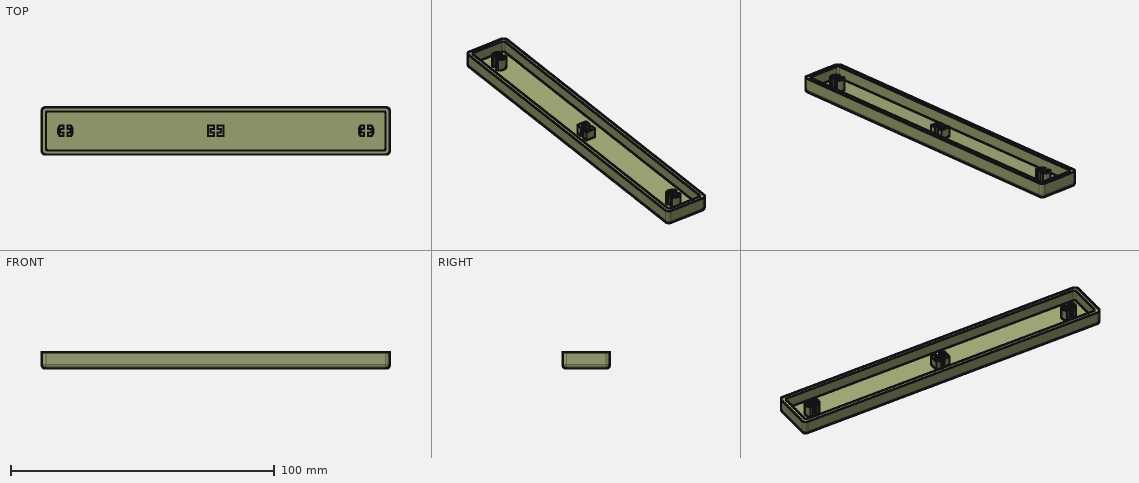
import cadquery as cq

length = 132.35
width = 18.05
height = 6.3
wall = 1.6
floor = wall
corner_radius = wall
bottom_radius = wall
inner_corner_radius = wall / 2

stem_spacing = 57.15
square_stem_height = 3.8
round_stem_height = height - floor
stem_depth = 4.0
round_stem_diameter = 5.6
square_stem_length = 5.9

cross_length = 4.0
cross_bar = 1.3
cross_slot = 1.5


def make_tray():
    """Open-topped tray with rounded corners and a rounded bottom edge."""
    body = cq.Workplane("XY").box(length, width, height, centered=(True, True, False))
    body = body.edges("|Z").fillet(corner_radius)
    body = body.faces("<Z").edges().fillet(bottom_radius)
    cavity = (
        cq.Workplane("XY")
        .workplane(offset=floor)
        .rect(length - 2 * wall, width - 2 * wall)
        .extrude(height - floor)
        .edges("|Z")
        .fillet(inner_corner_radius)
    )
    return body.cut(cavity)


def floor_block(block_length, block_width, block_height):
    """Rectangular block standing on the tray floor at the origin."""
    return cq.Workplane("XY").workplane(offset=floor).rect(block_length, block_width).extrude(block_height)


def cut_cross(stem, stem_height):
    """Cut a cross-shaped socket, closed along X and open along Y."""
    bar = floor_block(cross_length, cross_bar, stem_height)
    slot = floor_block(cross_slot, stem_depth, stem_height)
    return stem.cut(bar).cut(slot)


def make_square_stem():
    """Central stem with a rectangular outline."""
    block = floor_block(square_stem_length, stem_depth, square_stem_height)
    return cut_cross(block, square_stem_height)


def make_round_stem():
    """Outer stem: a cylinder with flats on its +Y and -Y sides."""
    floor_plane = cq.Workplane("XY").workplane(offset=floor)
    cylinder = floor_plane.circle(round_stem_diameter / 2).extrude(round_stem_height)
    flats = floor_block(round_stem_diameter, stem_depth, round_stem_height)
    return cut_cross(cylinder.intersect(flats), round_stem_height)


result = make_tray().union(make_square_stem())
round_stem = make_round_stem()
for side in (-1, 1):
    result = result.union(round_stem.translate((side * stem_spacing, 0, 0)))